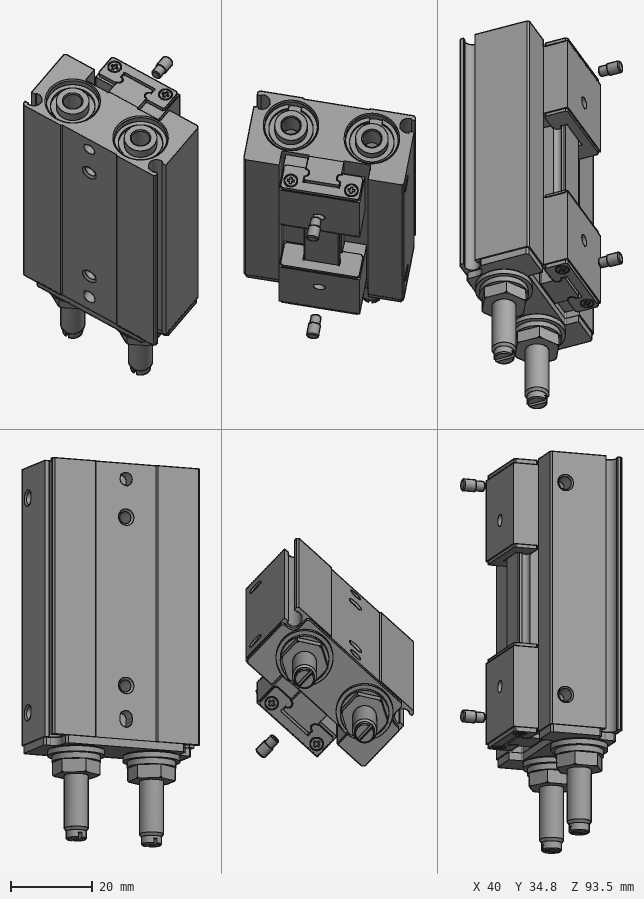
import cadquery as cq
import math


OVERALL_LENGTH = 93.5
HOUSING_LENGTH = 69.0
HOUSING_HALF_WIDTH = 20.0
FRONT_Y = -7.9
BACK_Y = 11.0
ROD_X = 10.1

EDGE_CHAMFER = 0.5
CHANNEL_FLOOR_Y = 7.1
CHANNEL_HALF_WIDTH = 11.1
CHANNEL_FILLET = 0.4
SEAT_Y = 7.4
SENSOR_GROOVE_DIAMETER = 3.9
SENSOR_GROOVE_X = 18.2
SENSOR_GROOVE_Y = -5.0
SENSOR_OPENING_DEPTH = 1.2
SENSOR_OPENING_TOP_Y = -3.5
SENSOR_OPENING_BOTTOM_Y = -6.6
LIP_SETBACK = 0.3
PANEL_DEPTH = 0.3
PANEL_HALF_WIDTH = 8.4
PANEL_FLOOR_HALF_WIDTH = 8.0

RECESS_DIAMETER = 13.0
RECESS_MOUTH_DIAMETER = 13.65
RECESS_DEPTH = 1.9
RING_BORE = 10.9
RING_THICKNESS = 0.75
RING_GAP_HALF_WIDTH = 1.6
ROD_DIAMETER = 8.0
ROD_HOLE_DIAMETER = 4.5
ROD_HOLE_MOUTH = 5.05
ROD_HOLE_DEPTH = 7.5
DRILL_POINT_ANGLE = 118.0

MOUNT_HOLE_DIAMETER = 3.0
MOUNT_HOLE_MOUTH = 4.1
MOUNT_HOLE_END_DISTANCE = 13.5
DOWEL_HOLE_DIAMETER = 3.3
DOWEL_HOLE_DEPTH = 3.7
DOWEL_HOLE_TOP_DISTANCE = 3.9
DOWEL_SLOT_LENGTH = 4.1
DOWEL_SLOT_Z = 5.1
PORT_DIAMETER = 3.3
PORT_MOUTH = 4.1
PORT_DEPTH = 5.6
PORT_Y = 7.1
PORT_END_DISTANCE = 7.7

PLATE_THICKNESS = 2.0
PLATE_INSET = 0.3
PLATE_CHAMFER = 0.6
PLATE_NOTCH_X = 16.0
PLATE_NOTCH_Y = -2.5
PLATE_NOTCH_RADIUS = 2.15

COLLAR_NECK_DIAMETER = 13.0
COLLAR_NECK_END = 2.2
COLLAR_DIAMETER = 14.0
COLLAR_END = 3.6
WASHER_DIAMETER = 12.0
WASHER_END = 5.1
NUT_ACROSS_CORNERS = 11.8
NUT_END = 8.5
NUT_CHAMFER = 0.3
STEM_DIAMETER = 6.0
STEM_END = 21.7
TIP_DIAMETER = 5.0
TIP_TAPER = 0.75
TIP_CHAMFER = 0.3
TIP_SLOT_WIDTH = 0.8
TIP_SLOT_DEPTH = 1.4

RAIL_HALF_WIDTH = 4.4
RAIL_TOP_Y = 13.8
RAIL_CHAMFER = 0.3
RACE_Y = 11.9
RACE_RADIUS = 1.0

CARRIAGE_HALF_WIDTH = 10.1
CARRIAGE_TOP_Y = 17.1
CARRIAGE_BOTTOM_Y = 7.5
SHORT_LEG_BOTTOM_Y = 10.0
CARRIAGE_LENGTH = 22.4
OUTER_CAP_LENGTH = 1.1
INNER_CAP_LENGTH = 0.8
CAP_INSET = 0.3
CAP_BOTTOM_Y = 10.7
CAP_CHAMFER = 0.5
RAIL_SIDE_CLEARANCE = 0.2
RAIL_TOP_CLEARANCE = 0.7
CAP_SCREW_X = 7.6
CAP_SCREW_Y = 14.6
CAP_SCREW_SEAT_DIAMETER = 3.4
CAP_SCREW_HEAD_DIAMETER = 3.0
CAP_SCREW_SEAT_DEPTH = 0.4
CROSS_LENGTH = 1.7
CROSS_WIDTH = 0.6

PIN_BACK_Y = 26.9
PIN_LENGTH = 5.6
PIN_HEAD_LENGTH = 3.2
PIN_HEAD_DIAMETER = 3.0
PIN_SHANK_DIAMETER = 2.5
PIN_CHAMFER = 0.3
PIN_END_DISTANCE = 5.2


def cylinder_along_z(x, y, z_start, diameter, length):
    """Cylinder rising from z_start."""
    return cq.Workplane("XY", origin=(x, y, z_start)).circle(diameter / 2).extrude(length)


def cylinder_along_y(z, y_start, diameter, length):
    """Cylinder on the middle plane, running from y_start toward +Y."""
    return cq.Workplane("XZ", origin=(0, y_start, z)).circle(diameter / 2).extrude(-length)


def drill(diameter, mouth_diameter, depth):
    """Blind drill shape: mouth at the origin, 45 degree countersink, cone-pointed end toward -Z."""
    radius = diameter / 2
    mouth_radius = mouth_diameter / 2
    point_length = radius / math.tan(math.radians(DRILL_POINT_ANGLE / 2))
    return (
        cq.Workplane("XZ")
        .moveTo(0, 0)
        .lineTo(mouth_radius, 0)
        .lineTo(radius, radius - mouth_radius)
        .lineTo(radius, -depth)
        .lineTo(0, -depth - point_length)
        .close()
        .revolve(360, (0, 0, 0), (0, 1, 0))
    )


def countersink(mouth_diameter, hole_diameter, mouth_centre, direction):
    """45 degree cone narrowing from a hole's mouth to the hole's own diameter."""
    mouth_radius = mouth_diameter / 2
    hole_radius = hole_diameter / 2
    depth = mouth_radius - hole_radius
    cone = cq.Solid.makeCone(
        mouth_radius, hole_radius, depth, cq.Vector(*mouth_centre), cq.Vector(*direction)
    )
    return cq.Workplane(cone)


def box_between(x0, x1, y0, y1, z0, z1):
    """Axis-aligned block given by its limits."""
    return cq.Workplane("XY").box(x1 - x0, y1 - y0, z1 - z0, centered=False).translate((x0, y0, z0))


def rail_channel():
    """Channel for rail and carriages, open to the back, through the housing and its end plate."""
    channel = box_between(
        -CHANNEL_HALF_WIDTH,
        CHANNEL_HALF_WIDTH,
        CHANNEL_FLOOR_Y,
        BACK_Y,
        -PLATE_THICKNESS,
        HOUSING_LENGTH,
    )
    return channel.edges("|Z and <Y").fillet(CHANNEL_FILLET)


def housing_profile_body():
    """Extruded section with the rail channel, the sensor grooves and the shallow front panel."""
    body = box_between(-HOUSING_HALF_WIDTH, HOUSING_HALF_WIDTH, FRONT_Y, BACK_Y, 0, HOUSING_LENGTH)
    body = body.edges("|Z and >Y").chamfer(EDGE_CHAMFER)

    body = body.cut(rail_channel())
    rail_seat = box_between(
        -RAIL_HALF_WIDTH, RAIL_HALF_WIDTH, CHANNEL_FLOOR_Y, SEAT_Y, 0, HOUSING_LENGTH
    )
    body = body.union(rail_seat)

    opening_x = HOUSING_HALF_WIDTH - SENSOR_OPENING_DEPTH
    between_openings = box_between(-opening_x, opening_x, FRONT_Y, BACK_Y, 0, HOUSING_LENGTH)
    lip_x = HOUSING_HALF_WIDTH - LIP_SETBACK
    for side in (-1, 1):
        groove = cylinder_along_z(
            side * SENSOR_GROOVE_X, SENSOR_GROOVE_Y, 0, SENSOR_GROOVE_DIAMETER, HOUSING_LENGTH
        )
        opening_and_lip_end = (
            cq.Workplane("XY")
            .moveTo(side * SENSOR_GROOVE_X, SENSOR_OPENING_TOP_Y)
            .lineTo(side * HOUSING_HALF_WIDTH, SENSOR_OPENING_TOP_Y)
            .lineTo(side * HOUSING_HALF_WIDTH, FRONT_Y)
            .lineTo(side * (lip_x - EDGE_CHAMFER), FRONT_Y)
            .lineTo(side * lip_x, FRONT_Y + EDGE_CHAMFER)
            .lineTo(side * lip_x, SENSOR_OPENING_BOTTOM_Y)
            .lineTo(side * SENSOR_GROOVE_X, SENSOR_OPENING_BOTTOM_Y)
            .close()
            .extrude(HOUSING_LENGTH)
        )
        body = body.cut(groove.intersect(between_openings)).cut(opening_and_lip_end)

    panel = (
        cq.Workplane("XY")
        .moveTo(-PANEL_HALF_WIDTH, FRONT_Y)
        .lineTo(-PANEL_FLOOR_HALF_WIDTH, FRONT_Y + PANEL_DEPTH)
        .lineTo(PANEL_FLOOR_HALF_WIDTH, FRONT_Y + PANEL_DEPTH)
        .lineTo(PANEL_HALF_WIDTH, FRONT_Y)
        .close()
        .extrude(HOUSING_LENGTH)
    )
    return body.cut(panel)


def rod_end_recess(x):
    """Annular recess around a rod end, with a split ring on its floor and a hole in the rod."""
    floor_z = HOUSING_LENGTH - RECESS_DEPTH
    recess = cylinder_along_z(x, 0, floor_z, RECESS_DIAMETER, RECESS_DEPTH)
    recess = recess.union(
        countersink(RECESS_MOUTH_DIAMETER, RECESS_DIAMETER, (x, 0, HOUSING_LENGTH), (0, 0, -1))
    )
    below_ring = cylinder_along_z(x, 0, floor_z - RING_THICKNESS, RING_BORE, RING_THICKNESS)
    ring_gap = box_between(
        x - RING_GAP_HALF_WIDTH,
        x + RING_GAP_HALF_WIDTH,
        -RECESS_DIAMETER / 2,
        0,
        floor_z - RING_THICKNESS,
        floor_z,
    ).intersect(cylinder_along_z(x, 0, 0, RECESS_DIAMETER, HOUSING_LENGTH))
    rod = cylinder_along_z(x, 0, 0, ROD_DIAMETER, HOUSING_LENGTH)
    rod_hole = drill(ROD_HOLE_DIAMETER, ROD_HOLE_MOUTH, ROD_HOLE_DEPTH).translate(
        (x, 0, HOUSING_LENGTH)
    )
    return recess.union(below_ring).union(ring_gap).cut(rod).union(rod_hole)


def mount_hole_positions():
    """Heights of the two through holes, at equal distances from the housing's ends."""
    return (MOUNT_HOLE_END_DISTANCE, HOUSING_LENGTH - MOUNT_HOLE_END_DISTANCE)


def mount_holes():
    """The two plain through holes that pass through housing, rail and carriages."""
    holes = cq.Workplane("XY")
    for z in mount_hole_positions():
        holes = holes.add(cylinder_along_y(z, FRONT_Y, MOUNT_HOLE_DIAMETER, CARRIAGE_TOP_Y - FRONT_Y))
    return holes.combine()


def dowel_recesses():
    """Round dowel hole near the top of the front panel and a dowel slot near its bottom."""
    panel_y = FRONT_Y + PANEL_DEPTH
    hole = cylinder_along_y(
        HOUSING_LENGTH - DOWEL_HOLE_TOP_DISTANCE, panel_y, DOWEL_HOLE_DIAMETER, DOWEL_HOLE_DEPTH
    )
    slot = (
        cq.Workplane("XZ", origin=(0, panel_y, DOWEL_SLOT_Z))
        .slot2D(DOWEL_SLOT_LENGTH, DOWEL_HOLE_DIAMETER, 90)
        .extrude(-DOWEL_HOLE_DEPTH)
    )
    return hole.union(slot)


def make_housing():
    housing = housing_profile_body()
    for x in (-ROD_X, ROD_X):
        housing = housing.cut(rod_end_recess(x))
    housing = housing.cut(mount_holes()).cut(dowel_recesses())
    for z in mount_hole_positions():
        mouth_centre = (0, FRONT_Y + PANEL_DEPTH, z)
        housing = housing.cut(
            countersink(MOUNT_HOLE_MOUTH, MOUNT_HOLE_DIAMETER, mouth_centre, (0, 1, 0))
        )
    for z in (PORT_END_DISTANCE, HOUSING_LENGTH - PORT_END_DISTANCE):
        port = drill(PORT_DIAMETER, PORT_MOUTH, PORT_DEPTH).rotate((0, 0, 0), (0, 1, 0), -90)
        housing = housing.cut(port.translate((-HOUSING_HALF_WIDTH, PORT_Y, z)))
    return housing


def end_plate():
    """Flat plate under the housing with the rail channel and a notch at each sensor groove."""
    half_width = HOUSING_HALF_WIDTH - PLATE_INSET
    front = FRONT_Y + PLATE_INSET
    plate = box_between(
        -half_width, half_width, front, BACK_Y - PLATE_INSET, -PLATE_THICKNESS, 0
    )
    plate = plate.edges("|Z and >Y").chamfer(PLATE_CHAMFER).cut(rail_channel())
    for side in (-1, 1):
        arc_end = (side * PLATE_NOTCH_X, PLATE_NOTCH_Y - PLATE_NOTCH_RADIUS)
        notch = (
            cq.Workplane("XY", origin=(0, 0, -PLATE_THICKNESS))
            .moveTo(side * half_width, front)
            .lineTo(side * half_width, PLATE_NOTCH_Y + PLATE_CHAMFER)
            .lineTo(side * (half_width - PLATE_CHAMFER), PLATE_NOTCH_Y)
            .lineTo(side * (PLATE_NOTCH_X + PLATE_NOTCH_RADIUS), PLATE_NOTCH_Y)
            .radiusArc(arc_end, -side * PLATE_NOTCH_RADIUS)
            .lineTo(side * PLATE_NOTCH_X, front + PLATE_CHAMFER)
            .lineTo(side * (PLATE_NOTCH_X - PLATE_CHAMFER), front)
            .close()
            .extrude(PLATE_THICKNESS)
        )
        plate = plate.cut(notch)
    return plate


def adjuster(x):
    """Stepped stroke adjuster: collar, washer, hexagonal nut and slotted stem, pointing down."""
    end = OVERALL_LENGTH - HOUSING_LENGTH

    def step(diameter, start, stop):
        return cylinder_along_z(x, 0, -stop, diameter, stop - start)

    nut_blank = step(NUT_ACROSS_CORNERS, WASHER_END, NUT_END).faces("<Z").chamfer(NUT_CHAMFER)
    nut = (
        cq.Workplane("XY", origin=(x, 0, -NUT_END))
        .transformed(rotate=(0, 0, 90))
        .polygon(6, NUT_ACROSS_CORNERS)
        .extrude(NUT_END - WASHER_END)
        .intersect(nut_blank)
    )
    stem = step(STEM_DIAMETER, NUT_END, STEM_END + TIP_TAPER)
    stem = stem.faces("<Z").chamfer(TIP_TAPER, (STEM_DIAMETER - TIP_DIAMETER) / 2)
    tip = step(TIP_DIAMETER, STEM_END + TIP_TAPER, end).faces("<Z").chamfer(TIP_CHAMFER)
    tip_slot = box_between(
        x - TIP_SLOT_WIDTH / 2,
        x + TIP_SLOT_WIDTH / 2,
        -TIP_DIAMETER / 2,
        TIP_DIAMETER / 2,
        -end,
        TIP_SLOT_DEPTH - end,
    )
    return (
        step(COLLAR_NECK_DIAMETER, PLATE_THICKNESS, COLLAR_NECK_END)
        .union(step(COLLAR_DIAMETER, COLLAR_NECK_END, COLLAR_END))
        .union(step(WASHER_DIAMETER, COLLAR_END, WASHER_END))
        .union(nut)
        .union(stem)
        .union(tip.cut(tip_slot))
    )


def make_end_cap():
    cap = end_plate()
    for x in (-ROD_X, ROD_X):
        cap = cap.union(adjuster(x))
    return cap


def make_rail():
    """Rail with a round ball race along each flank."""
    rail = box_between(-RAIL_HALF_WIDTH, RAIL_HALF_WIDTH, SEAT_Y, RAIL_TOP_Y, 0, HOUSING_LENGTH)
    rail = rail.edges("|Z and >Y").chamfer(RAIL_CHAMFER)
    for x in (-RAIL_HALF_WIDTH, RAIL_HALF_WIDTH):
        rail = rail.cut(cylinder_along_z(x, RACE_Y, 0, 2 * RACE_RADIUS, HOUSING_LENGTH))
    return rail.cut(mount_holes())


def rail_tunnel():
    """Opening through a carriage: the rail section with clearance, less the rounded race teeth."""
    half_width = RAIL_HALF_WIDTH + RAIL_SIDE_CLEARANCE
    top = RAIL_TOP_Y + RAIL_TOP_CLEARANCE
    tunnel = box_between(-half_width, half_width, SEAT_Y, top, 0, HOUSING_LENGTH)
    tooth_diameter = 2 * (RACE_RADIUS - RAIL_SIDE_CLEARANCE / 2)
    for x in (-half_width, half_width):
        tunnel = tunnel.cut(cylinder_along_z(x, RACE_Y, 0, tooth_diameter, HOUSING_LENGTH))
    return tunnel


def carriage_cap(z0, z1):
    """End cap slightly inset from the carriage block, covering only its upper part."""
    half_width = CARRIAGE_HALF_WIDTH - CAP_INSET
    cap = box_between(-half_width, half_width, CAP_BOTTOM_Y, CARRIAGE_TOP_Y - CAP_INSET, z0, z1)
    return cap.edges("|Z").chamfer(CAP_CHAMFER)


def cap_screw_recess(x):
    """Ring around a cap screw head plus the cross slot in the head."""
    seat_z = HOUSING_LENGTH - CAP_SCREW_SEAT_DEPTH
    seat = cylinder_along_z(x, CAP_SCREW_Y, seat_z, CAP_SCREW_SEAT_DIAMETER, CAP_SCREW_SEAT_DEPTH)
    head = cylinder_along_z(x, CAP_SCREW_Y, seat_z, CAP_SCREW_HEAD_DIAMETER, CAP_SCREW_SEAT_DEPTH)
    cross = (
        cq.Workplane("XY", origin=(x, CAP_SCREW_Y, seat_z))
        .rect(CROSS_LENGTH, CROSS_WIDTH)
        .extrude(CAP_SCREW_SEAT_DEPTH)
        .union(
            cq.Workplane("XY", origin=(x, CAP_SCREW_Y, seat_z))
            .rect(CROSS_WIDTH, CROSS_LENGTH)
            .extrude(CAP_SCREW_SEAT_DEPTH)
        )
    )
    return seat.cut(head).union(cross)


def upper_carriage():
    """Carriage with one short leg, its screwed cap flush with the top of the housing."""
    bottom = HOUSING_LENGTH - CARRIAGE_LENGTH
    block_top = HOUSING_LENGTH - OUTER_CAP_LENGTH
    block_bottom = bottom + INNER_CAP_LENGTH
    carriage = box_between(
        -CARRIAGE_HALF_WIDTH,
        CARRIAGE_HALF_WIDTH,
        CARRIAGE_BOTTOM_Y,
        CARRIAGE_TOP_Y,
        block_bottom,
        block_top,
    )
    below_short_leg = box_between(
        -CARRIAGE_HALF_WIDTH, 0, CARRIAGE_BOTTOM_Y, SHORT_LEG_BOTTOM_Y, block_bottom, block_top
    )
    carriage = carriage.cut(below_short_leg)
    carriage = carriage.union(carriage_cap(block_top, HOUSING_LENGTH))
    carriage = carriage.union(carriage_cap(bottom, block_bottom))
    carriage = carriage.cut(rail_tunnel())
    for x in (-CAP_SCREW_X, CAP_SCREW_X):
        carriage = carriage.cut(cap_screw_recess(x))
    return carriage.cut(mount_holes())


def make_carriages():
    """Two identical carriages, the lower one turned end for end about an axis along Y."""
    upper = upper_carriage()
    mid_z = HOUSING_LENGTH / 2
    lower = upper.rotate((0, 0, mid_z), (0, 1, mid_z), 180)
    return [upper.val(), lower.val()]


def make_pin(z):
    """Stepped pin along Y behind the carriages."""
    shank_length = PIN_LENGTH - PIN_HEAD_LENGTH
    head = cylinder_along_y(z, PIN_BACK_Y - PIN_HEAD_LENGTH, PIN_HEAD_DIAMETER, PIN_HEAD_LENGTH)
    head = head.faces(">Y").chamfer(PIN_CHAMFER)
    shank = cylinder_along_y(z, PIN_BACK_Y - PIN_LENGTH, PIN_SHANK_DIAMETER, shank_length)
    return head.union(shank.faces("<Y").chamfer(PIN_CHAMFER))


housing = make_housing()
end_cap = make_end_cap()
rail = make_rail()
carriages = make_carriages()
pins = [make_pin(z).val() for z in (PIN_END_DISTANCE, HOUSING_LENGTH - PIN_END_DISTANCE)]

result = cq.Compound.makeCompound([housing.val(), end_cap.val(), rail.val(), *carriages, *pins])